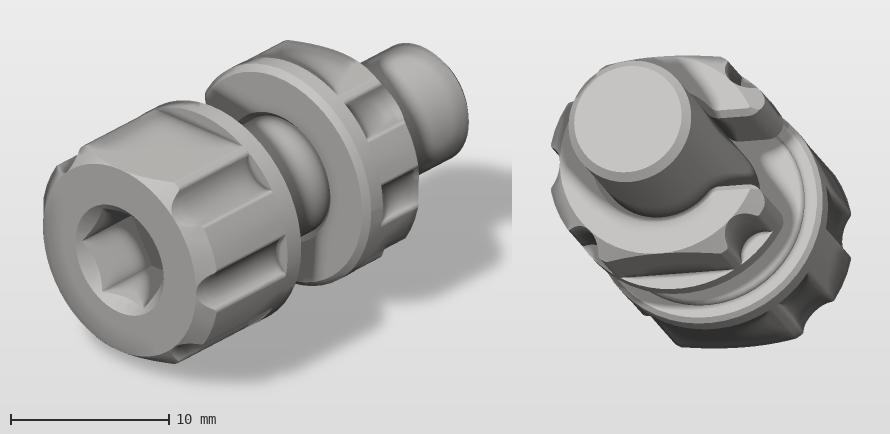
import cadquery as cq
import math


GRIP_RADIUS = 7.5
FLAT_HEIGHT = 6.5
GROOVE_RADIUS = 1.5
GROOVE_CENTER = FLAT_HEIGHT + GROOVE_RADIUS
GROOVE_ANGLES = (0, 45, 135, 180, 225, 315)
EDGE_FILLET = 0.25
GRIP_BEVEL = 1.0

HEAD_GRIP_LENGTH = 7.5
HEAD_FLANGE_LENGTH = 1.6
HEAD_FLANGE_CHAMFER = 0.3
WASHER_FACE_RADIUS = 6.4
WASHER_FACE_HEIGHT = 0.3
NECK_RADIUS = 3.4
NECK_LENGTH = 1.6
SHANK_RADIUS = 4.0
SHANK_LENGTH = 18.0
SHANK_CHAMFER = 0.5
HEAD_FLANGE_END = HEAD_GRIP_LENGTH + HEAD_FLANGE_LENGTH
HEAD_LENGTH = HEAD_FLANGE_END + WASHER_FACE_HEIGHT
SHANK_START = HEAD_LENGTH + NECK_LENGTH
BOLT_LENGTH = SHANK_START + SHANK_LENGTH

SOCKET_ACROSS_FLATS = 6.0
SOCKET_DEPTH = 5.0
SOCKET_MOUTH_RADIUS = 3.75

NUT_LENGTH = 6.0
NUT_GRIP_LENGTH = 4.5
NUT_TO_SHANK_END = 8.0
NUT_CHAMFER = 0.4
SLOT_WIDTH = 4.5
SLOT_FILLET = 1.0


def disc(radius, start, length):
    """Cylinder on the Y axis running from y = start towards +Y."""
    return cq.Workplane("XZ", origin=(0, start, 0)).circle(radius).extrude(-length)


def grip(length):
    """Round bar with two flats and six grooves, bevelled at its y = 0 end."""
    slab = cq.Workplane("XY").box(2 * GROOVE_CENTER, 2 * length, 2 * FLAT_HEIGHT)
    bar = disc(GRIP_RADIUS, 0, length).intersect(slab)
    groove = cq.Workplane("XZ").center(GROOVE_CENTER, 0).circle(GROOVE_RADIUS).extrude(-length)
    for angle in GROOVE_ANGLES:
        bar = bar.cut(groove.rotate((0, 0, 0), (0, 1, 0), angle))
    bar = bar.edges("|Y").fillet(EDGE_FILLET)
    bevel_envelope = disc(GRIP_RADIUS, 0, length).faces("<Y").chamfer(GRIP_BEVEL)
    return bar.intersect(bevel_envelope)


def socket():
    """Hexagonal recess with a 45 degree conical mouth, two corners lying along X."""
    corner_radius = SOCKET_ACROSS_FLATS / math.sqrt(3)
    recess = cq.Workplane("XZ").polygon(6, 2 * corner_radius).extrude(-SOCKET_DEPTH)
    mouth = (
        cq.Workplane("XY")
        .polyline([(0, 0), (SOCKET_MOUTH_RADIUS, 0), (0, SOCKET_MOUTH_RADIUS)])
        .close()
        .revolve(360, (0, 0, 0), (0, 1, 0))
    )
    return recess.union(mouth)


def make_bolt():
    """Grip, flange, round-rimmed washer face, neck and shank, with the hexagon socket."""
    stem = (
        cq.Workplane("XY")
        .moveTo(0, HEAD_GRIP_LENGTH)
        .lineTo(GRIP_RADIUS, HEAD_GRIP_LENGTH)
        .lineTo(GRIP_RADIUS, HEAD_FLANGE_END - HEAD_FLANGE_CHAMFER)
        .lineTo(GRIP_RADIUS - HEAD_FLANGE_CHAMFER, HEAD_FLANGE_END)
        .lineTo(WASHER_FACE_RADIUS, HEAD_FLANGE_END)
        .radiusArc((WASHER_FACE_RADIUS - WASHER_FACE_HEIGHT, HEAD_LENGTH), -WASHER_FACE_HEIGHT)
        .lineTo(NECK_RADIUS, HEAD_LENGTH)
        .lineTo(NECK_RADIUS, SHANK_START)
        .lineTo(SHANK_RADIUS, SHANK_START)
        .lineTo(SHANK_RADIUS, BOLT_LENGTH - SHANK_CHAMFER)
        .lineTo(SHANK_RADIUS - SHANK_CHAMFER, BOLT_LENGTH)
        .lineTo(0, BOLT_LENGTH)
        .close()
        .revolve(360, (0, 0, 0), (0, 1, 0))
    )
    return grip(HEAD_GRIP_LENGTH).union(stem).cut(socket())


def slotted_ring():
    """Ring around the shank, open towards -X, rounded and chamfered along its outline."""
    slot = cq.Workplane("XY").box(GRIP_RADIUS, 2 * NUT_LENGTH, SLOT_WIDTH)
    slot = slot.translate((-GRIP_RADIUS / 2, 0, 0))
    ring = disc(GRIP_RADIUS, 0, NUT_LENGTH).cut(disc(SHANK_RADIUS, 0, NUT_LENGTH)).cut(slot)
    slot_corners = ring.edges("|Y exc >X")
    return slot_corners.fillet(SLOT_FILLET).faces("<Y or >Y").chamfer(NUT_CHAMFER)


def make_nut():
    """Slotted nut on the shank, its flange facing the bolt head."""
    flange = disc(GRIP_RADIUS, NUT_GRIP_LENGTH, NUT_LENGTH - NUT_GRIP_LENGTH)
    nut = grip(NUT_GRIP_LENGTH).union(flange).intersect(slotted_ring())
    return nut.mirror("XZ").translate((0, BOLT_LENGTH - NUT_TO_SHANK_END, 0))


bolt = make_bolt()
nut = make_nut()

result = cq.Compound.makeCompound([bolt.val(), nut.val()])